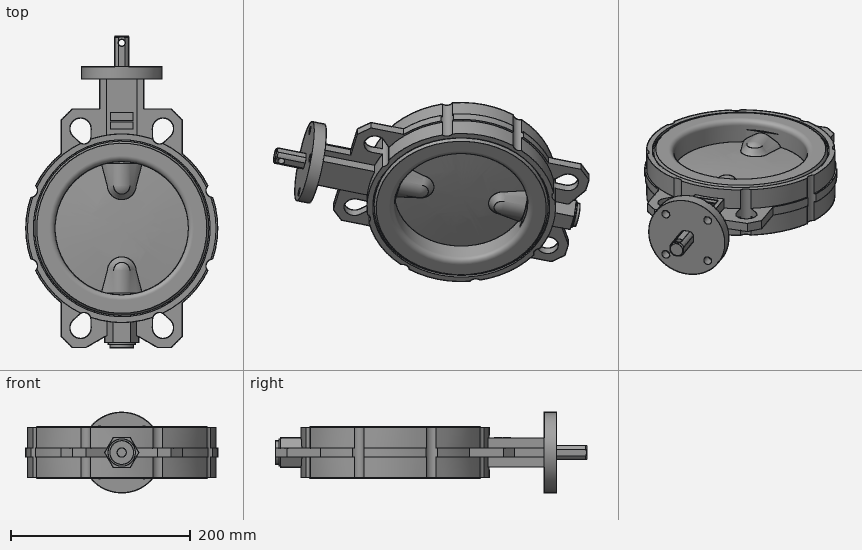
import cadquery as cq
import math


BODY_RADIUS = 105.0
BODY_WIDTH = 56.0

SEAT_WIDTH = 58.0
SEAT_FACE_RADIUS = 94.7
SEAT_FOOT_RADIUS = 97.0
GROOVE_RADIUS = 98.5
GROOVE_DEPTH = 3.0
BORE_RADIUS = 74.2
LIP_RADIUS = 6.0

WEB_RADIUS = 107.0
WEB_THICKNESS = 10.0
LUG_HALF_X = 67.5
LUG_HALF_Y = 133.0
LUG_CHAMFER = 12.5
NOTCH_OUTER_HALF_X = 40.0
NOTCH_EDGE_ANGLE = 30.0

BOLT_COUNT = 8
BOLT_CIRCLE_RADIUS = 120.0
BOLT_RADIUS = 11.7
SLOT_INNER_DISTANCE = 110.0
SLOT_INNER_RADIUS = 7.7

NECK_WIDTH = 34.2
NECK_HEIGHT = 32.5
NECK_WEB_WIDTH = 49.0
FLANGE_FACE_Y = 180.0
FLANGE_THICKNESS = 14.0
FLANGE_RADIUS = 45.0
FLANGE_HOLE_DIAMETER = 9.0
FLANGE_HOLE_CIRCLE_DIAMETER = 70.0
FLANGE_HOLE_COUNT = 4
FLANGE_HOLE_START_ANGLE = 45
SHAFT_END_Y = 213.8
SHAFT_DIAMETER = 17.6
SHAFT_SQUARE = 16.0
SHAFT_CHAMFER = 1.5
PIN_HOLE_DIAMETER = 7.5
PIN_HOLE_FROM_END = 7.3

LABEL_WIDTH = 24.5
LABEL_RELIEF = 0.6
LABELS = [(124.5, 8.6), (114.4, 7.7)]

HEX_SIDES = 6
HEX_ACROSS_FLATS = 33.0
HEX_END_Y = -127.5
PLUG_COLLAR_RADIUS = 15.2
PLUG_COLLAR_LENGTH = 2.0
PLUG_RADIUS = 13.2
PLUG_END_Y = -133.2
PLUG_HOLE_RADIUS = 5.1
PLUG_HOLE_DEPTH = 10.0

DISC_EDGE_Z = 3.0
DISC_CENTRE_Z = 6.5
PAD_Y = 71.9
PAD_HALF_Z = 18.0
HUB_WALL_Y = 78.0
HUB_END_Y = 47.0
HUB_CROWN_Z = 16.6
HUB_SHOULDER_X = 9.0
HUB_SHOULDER_Z = 13.5
HUB_FLANK_Z = 8.5
HUB_WALL_FLANK_X = 18.0
HUB_WALL_FOOT_X = 23.5
HUB_END_FLANK_X = 12.8
HUB_END_FOOT_X = 18.5


def cylinder_along_y(radius, y_start, y_end):
    """Cylinder on the shaft axis between two Y positions."""
    return cq.Workplane("XZ", origin=(0, y_start, 0)).circle(radius).extrude(y_start - y_end)


def block_along_y(width, height, y_start, y_end):
    """Rectangular bar on the shaft axis between two Y positions."""
    return cq.Workplane("XZ", origin=(0, y_start, 0)).rect(width, height).extrude(y_start - y_end)


def bore_cylinder(length):
    """Cylinder filling the bore, centred on the disc mid plane."""
    return cq.Workplane("XY").circle(BORE_RADIUS).extrude(length / 2, both=True)


def make_web():
    """Thin central plate: disc, lugs and the tapered gap between the lower lugs."""
    disc = cq.Workplane("XY").circle(WEB_RADIUS).extrude(WEB_THICKNESS / 2, both=True)
    lugs = (
        cq.Workplane("XY")
        .rect(2 * LUG_HALF_X, 2 * LUG_HALF_Y)
        .extrude(WEB_THICKNESS / 2, both=True)
        .edges("|Z")
        .chamfer(LUG_CHAMFER)
    )
    gap_depth = NOTCH_OUTER_HALF_X * math.tan(math.radians(NOTCH_EDGE_ANGLE))
    gap = (
        cq.Workplane("XY")
        .moveTo(-NOTCH_OUTER_HALF_X, -LUG_HALF_Y)
        .lineTo(NOTCH_OUTER_HALF_X, -LUG_HALF_Y)
        .lineTo(0, -LUG_HALF_Y + gap_depth)
        .close()
        .extrude(WEB_THICKNESS, both=True)
    )
    neck_web = block_along_y(NECK_WEB_WIDTH, WEB_THICKNESS, 0, FLANGE_FACE_Y - FLANGE_THICKNESS)
    return disc.union(lugs.cut(gap)).union(neck_web)


def make_bolt_slots():
    """Cutters for the bolt slots; beside the lugs they leave grooves in the body rim."""
    distance = BOLT_CIRCLE_RADIUS - SLOT_INNER_DISTANCE
    sine = (BOLT_RADIUS - SLOT_INNER_RADIUS) / distance
    cosine = math.sqrt(1 - sine**2)
    outer_x = BOLT_CIRCLE_RADIUS - BOLT_RADIUS * sine
    inner_x = SLOT_INNER_DISTANCE - SLOT_INNER_RADIUS * sine
    slot = (
        cq.Workplane("XY")
        .moveTo(inner_x, SLOT_INNER_RADIUS * cosine)
        .lineTo(outer_x, BOLT_RADIUS * cosine)
        .threePointArc((BOLT_CIRCLE_RADIUS + BOLT_RADIUS, 0), (outer_x, -BOLT_RADIUS * cosine))
        .lineTo(inner_x, -SLOT_INNER_RADIUS * cosine)
        .threePointArc((SLOT_INNER_DISTANCE - SLOT_INNER_RADIUS, 0), (inner_x, SLOT_INNER_RADIUS * cosine))
        .close()
        .extrude(BODY_WIDTH, both=True)
    )
    pitch = 360 / BOLT_COUNT
    slots = cq.Workplane("XY")
    for index in range(BOLT_COUNT):
        slots = slots.add(slot.rotate((0, 0, 0), (0, 0, 1), (index + 0.5) * pitch))
    return slots


def make_neck():
    """Neck block with its label plates, topped by the drilled actuator flange."""
    flange_back_y = FLANGE_FACE_Y - FLANGE_THICKNESS
    neck = block_along_y(NECK_WIDTH, NECK_HEIGHT, 0, flange_back_y)
    for centre_y, height in LABELS:
        label = (
            cq.Workplane("XY", origin=(0, centre_y, NECK_HEIGHT / 2))
            .rect(LABEL_WIDTH, height)
            .extrude(LABEL_RELIEF)
        )
        neck = neck.union(label)
    flange = cylinder_along_y(FLANGE_RADIUS, flange_back_y, FLANGE_FACE_Y)
    holes = (
        cq.Workplane("XZ", origin=(0, flange_back_y, 0))
        .polarArray(FLANGE_HOLE_CIRCLE_DIAMETER / 2, FLANGE_HOLE_START_ANGLE, 360, FLANGE_HOLE_COUNT)
        .circle(FLANGE_HOLE_DIAMETER / 2)
        .extrude(-FLANGE_THICKNESS)
    )
    return neck.union(flange.cut(holes))


def make_shaft_end():
    """Chamfered shaft with four flats and a cross hole near its end."""
    base_y = FLANGE_FACE_Y - FLANGE_THICKNESS
    shaft = cylinder_along_y(SHAFT_DIAMETER / 2, base_y, SHAFT_END_Y).faces(">Y").chamfer(SHAFT_CHAMFER)
    shaft = shaft.intersect(block_along_y(SHAFT_SQUARE, SHAFT_SQUARE, base_y, SHAFT_END_Y))
    pin_hole = (
        cq.Workplane("XY", origin=(0, SHAFT_END_Y - PIN_HOLE_FROM_END, 0))
        .circle(PIN_HOLE_DIAMETER / 2)
        .extrude(SHAFT_DIAMETER, both=True)
    )
    return shaft.cut(pin_hole)


def make_lower_boss():
    """Hexagonal bearing boss closed by a stepped plug with a blind hole."""
    hex_diameter = HEX_ACROSS_FLATS / math.cos(math.pi / HEX_SIDES)
    boss = cq.Workplane("XZ").polygon(HEX_SIDES, hex_diameter).extrude(-HEX_END_Y)
    collar = cylinder_along_y(PLUG_COLLAR_RADIUS, HEX_END_Y, HEX_END_Y - PLUG_COLLAR_LENGTH)
    plug = cylinder_along_y(PLUG_RADIUS, HEX_END_Y, PLUG_END_Y)
    hole = cylinder_along_y(PLUG_HOLE_RADIUS, PLUG_END_Y + PLUG_HOLE_DEPTH, PLUG_END_Y)
    return boss.union(collar).union(plug).cut(hole)


def make_seat_ring():
    """Body ring with the raised seat, its surrounding grooves and the rounded bore lips."""
    half_body = BODY_WIDTH / 2
    half_seat = SEAT_WIDTH / 2
    groove_z = half_body - GROOVE_DEPTH
    lip_z = half_seat - LIP_RADIUS
    lip_middle = LIP_RADIUS * (1 - math.sqrt(0.5))
    upper_half = (
        cq.Workplane("XZ")
        .moveTo(BORE_RADIUS, 0)
        .lineTo(BODY_RADIUS, 0)
        .lineTo(BODY_RADIUS, half_body)
        .lineTo(GROOVE_RADIUS, half_body)
        .lineTo(GROOVE_RADIUS, groove_z)
        .lineTo(SEAT_FOOT_RADIUS, groove_z)
        .lineTo(SEAT_FACE_RADIUS, half_seat)
        .lineTo(BORE_RADIUS + LIP_RADIUS, half_seat)
        .threePointArc((BORE_RADIUS + lip_middle, half_seat - lip_middle), (BORE_RADIUS, lip_z))
        .lineTo(BORE_RADIUS, 0)
        .close()
        .revolve(360, (0, 0, 0), (0, 1, 0))
    )
    return upper_half.union(upper_half.mirror("XY"))


def half_hub_outline(workplane, flank_x, foot_x):
    """Half of the arched hub section: crown arc, sloping flank and a concave foot flaring into the disc."""
    crown_rise = HUB_CROWN_Z - HUB_SHOULDER_Z
    crown_radius = (HUB_SHOULDER_X**2 + crown_rise**2) / (2 * crown_rise)
    middle_x = HUB_SHOULDER_X / 2
    middle_z = HUB_CROWN_Z - crown_radius + math.sqrt(crown_radius**2 - middle_x**2)
    return (
        workplane.moveTo(0, 0)
        .lineTo(0, HUB_CROWN_Z)
        .threePointArc((middle_x, middle_z), (HUB_SHOULDER_X, HUB_SHOULDER_Z))
        .lineTo(flank_x, HUB_FLANK_Z)
        .tangentArcPoint((foot_x, DISC_EDGE_Z), relative=False)
        .lineTo(foot_x, 0)
        .close()
    )


def make_hub():
    """Upper half of one shaft hub: drafted barrel with an inner nose turned about a line along Z."""
    wall_section = cq.Workplane("XZ", origin=(0, HUB_WALL_Y, 0))
    wall_outline = half_hub_outline(wall_section, HUB_WALL_FLANK_X, HUB_WALL_FOOT_X)
    end_section = wall_outline.workplane(offset=HUB_WALL_Y - HUB_END_Y)
    half_barrel = half_hub_outline(end_section, HUB_END_FLANK_X, HUB_END_FOOT_X).loft(ruled=True)
    nose_section = cq.Workplane("XZ", origin=(0, HUB_END_Y, 0))
    nose = half_hub_outline(nose_section, HUB_END_FLANK_X, HUB_END_FOOT_X).revolve(360, (0, 0, 0), (0, 1, 0))
    return half_barrel.union(half_barrel.mirror("YZ")).union(nose)


def dome_point(radius):
    """Point (radius, height) on the domed disc face, a spherical cap."""
    rise = DISC_CENTRE_Z - DISC_EDGE_Z
    sphere_radius = (BORE_RADIUS**2 + rise**2) / (2 * rise)
    return radius, DISC_CENTRE_Z - sphere_radius + math.sqrt(sphere_radius**2 - radius**2)


def make_disc():
    """Shallow domed disc with two shaft hubs on each face."""
    half_disc = (
        cq.Workplane("XZ")
        .lineTo(BORE_RADIUS, 0)
        .lineTo(*dome_point(BORE_RADIUS))
        .threePointArc(dome_point(BORE_RADIUS / 2), dome_point(0))
        .close()
        .revolve(360, (0, 0, 0), (0, 1, 0))
    )
    hub = make_hub().intersect(bore_cylinder(SEAT_WIDTH))
    half_disc = half_disc.union(hub).union(hub.mirror("XZ"))
    return half_disc.union(half_disc.mirror("XY"))


def make_bore_pads():
    """Flat pads on the bore wall around both shaft passages."""
    gap_between = cq.Workplane("XY").box(2 * BORE_RADIUS, 2 * PAD_Y, 2 * PAD_HALF_Z)
    return bore_cylinder(2 * PAD_HALF_Z).cut(gap_between)


def make_valve():
    bore = bore_cylinder(SEAT_WIDTH)
    housing = make_web().union(make_neck()).union(make_lower_boss()).cut(bore)
    housing = housing.union(make_seat_ring()).cut(make_bolt_slots())
    return housing.union(make_bore_pads()).union(make_disc()).union(make_shaft_end())


result = make_valve()